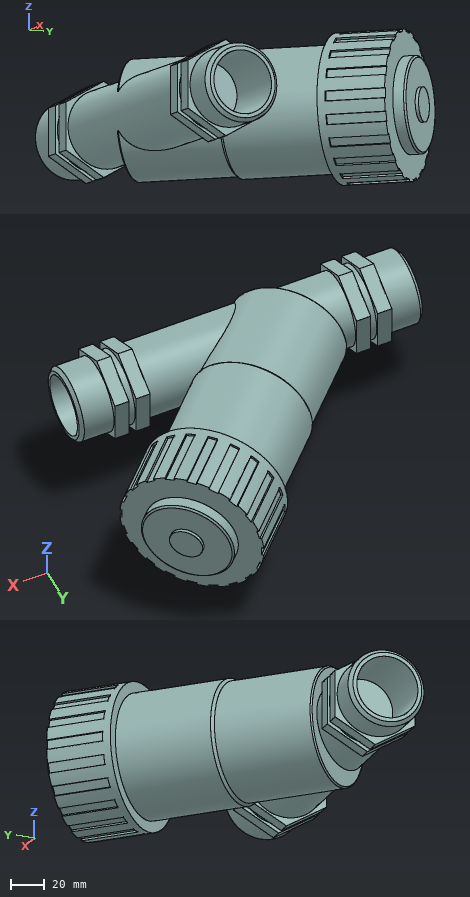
import cadquery as cq
import math

PIPE_LENGTH = 224.3
PIPE_DIAMETER = 47.7
PIPE_CHAMFER = 2.3

HEX_ACROSS_FLATS = 50.3
HEX_WIDTH = 9.2
HEX_GAP = 4.5
HEX_END_OFFSET = 21.7

SOCKET_DIAMETER = 38.3
SOCKET_DEPTH = HEX_END_OFFSET + 2 * HEX_WIDTH + HEX_GAP

BRANCH_ANGLE = 45
BRANCH_X = -36.7
NECK_DIAMETER = 73.3
NECK_START = 4.4
NECK_CHAMFER = 1.0
BODY_DIAMETER = 76.8
BODY_START = 68.0
BODY_CHAMFER = (BODY_DIAMETER - NECK_DIAMETER) / 2
CAP_DIAMETER = 90.5
CAP_START = 132.1
CAP_END = 174.0
BOSS_DIAMETER = 58.5
BOSS_END = 182.0
BOSS_CHAMFER = 1.2
BUTTON_DIAMETER = 21.0
BUTTON_END = 184.0

GROOVE_COUNT = 20
GROOVE_WIDTH = 6.0
GROOVE_DEPTH = 1.4
GROOVE_START = 137.2


def make_pipe():
    """Plain pipe blank with both outer rims chamfered."""
    return (
        cq.Workplane("YZ")
        .circle(PIPE_DIAMETER / 2)
        .extrude(PIPE_LENGTH / 2, both=True)
        .edges("%CIRCLE")
        .chamfer(PIPE_CHAMFER)
    )


def make_hex_collar(start_x):
    """Hexagonal collar with flats facing +Y and -Y and corners at +Z and -Z."""
    across_corners = HEX_ACROSS_FLATS / math.cos(math.radians(30))
    return (
        cq.Workplane("YZ", origin=(start_x, 0, 0))
        .transformed(rotate=(0, 0, 90))
        .polygon(6, across_corners)
        .extrude(HEX_WIDTH)
    )


def make_hex_collars():
    """Two collars near the left end, mirrored to the right end."""
    outer_start = -PIPE_LENGTH / 2 + HEX_END_OFFSET
    inner_start = outer_start + HEX_WIDTH + HEX_GAP
    left_pair = make_hex_collar(outer_start).add(make_hex_collar(inner_start)).combine()
    return left_pair.union(left_pair.mirror("YZ"))


def make_sockets():
    """Cutting bodies for the sockets in both pipe ends."""
    left_socket = (
        cq.Workplane("YZ", origin=(-PIPE_LENGTH / 2, 0, 0))
        .circle(SOCKET_DIAMETER / 2)
        .extrude(SOCKET_DEPTH)
    )
    return left_socket.union(left_socket.mirror("YZ"))


def make_tier(diameter, start, end):
    """Cylinder of the branch, built upright along Z."""
    return cq.Workplane("XY").workplane(offset=start).circle(diameter / 2).extrude(end - start)


def make_cap():
    """Screw cap with radial grip grooves above a plain rim."""
    cap = make_tier(CAP_DIAMETER, CAP_START, CAP_END)
    grooves = (
        cq.Workplane("XY")
        .workplane(offset=GROOVE_START)
        .polarArray(CAP_DIAMETER / 2, 0, 360, GROOVE_COUNT)
        .rect(2 * GROOVE_DEPTH, GROOVE_WIDTH)
        .extrude(CAP_END - GROOVE_START)
    )
    return cap.cut(grooves)


def make_branch():
    """Stepped branch stacked upright, then laid over and turned to its angle."""
    neck = make_tier(NECK_DIAMETER, NECK_START, BODY_START).faces("<Z").chamfer(NECK_CHAMFER)
    body = make_tier(BODY_DIAMETER, BODY_START, CAP_START).faces("<Z").chamfer(BODY_CHAMFER)
    boss = make_tier(BOSS_DIAMETER, CAP_END, BOSS_END).faces(">Z").chamfer(BOSS_CHAMFER)
    button = make_tier(BUTTON_DIAMETER, BOSS_END, BUTTON_END)
    upright = neck.union(body).union(make_cap()).union(boss).union(button)
    return (
        upright
        .rotate((0, 0, 0), (0, 1, 0), 90)
        .rotate((0, 0, 0), (0, 0, 1), BRANCH_ANGLE)
        .translate((BRANCH_X, 0, 0))
    )


result = make_pipe().union(make_hex_collars()).union(make_branch()).cut(make_sockets())